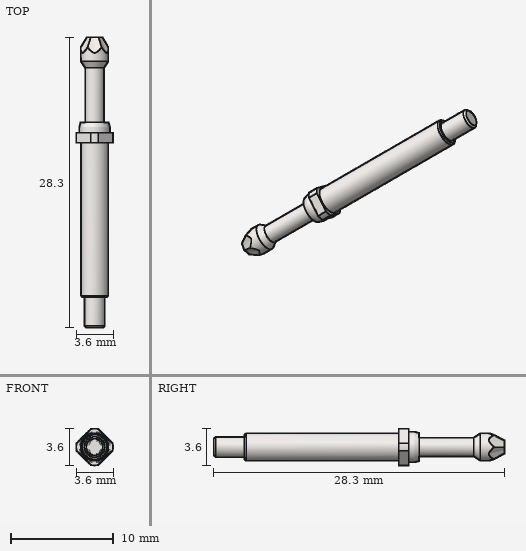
import cadquery as cq
import math


barrel_radius = 1.35
barrel_length = 15.0
barrel_chamfer = 0.15
tail_radius = 1.0
tail_length = 3.0
tail_chamfer = 0.2
flange_across_flats = 3.0
flange_corner_radius = 1.8
flange_thickness = 1.0

collar_radius = 1.5
collar_front_radius = 1.38
collar_straight_length = 0.55
collar_taper_length = 0.45

neck_radius = 0.925
neck_length = 5.3
head_radius = 1.35
head_cone_length = 0.65
head_length = 2.35

facet_count = 6
tip_ridge_radius = 0.75
tip_root_radius = 0.6
facet_length = 1.55

tail_end_y = -barrel_length - tail_length
collar_taper_y = flange_thickness + collar_straight_length
collar_front_y = collar_taper_y + collar_taper_length
head_cone_y = collar_front_y + neck_length
head_cylinder_y = head_cone_y + head_cone_length
tip_y = head_cylinder_y + head_length


def make_turned_body():
    """Barrel, tail, collar and neck, turned about the Y axis."""
    profile = [
        (0, tail_end_y),
        (tail_radius - tail_chamfer, tail_end_y),
        (tail_radius, tail_end_y + tail_chamfer),
        (tail_radius, -barrel_length),
        (barrel_radius - barrel_chamfer, -barrel_length),
        (barrel_radius, -barrel_length + barrel_chamfer),
        (barrel_radius, 0),
        (collar_radius, 0),
        (collar_radius, collar_taper_y),
        (collar_front_radius, collar_front_y),
        (neck_radius, collar_front_y),
        (neck_radius, head_cone_y),
        (head_radius, head_cylinder_y),
        (head_radius, tip_y),
        (0, tip_y),
    ]
    return cq.Workplane("XY").polyline(profile).close().revolve(360, (0, 0), (0, 1))


def make_flange():
    """Square flange standing on its corner, with the corners rounded by a circle."""
    disc = cq.Workplane("XZ").circle(flange_corner_radius).extrude(-flange_thickness)
    square = (
        cq.Workplane("XZ")
        .transformed(rotate=(0, 0, 45))
        .rect(flange_across_flats, flange_across_flats)
        .extrude(-flange_thickness)
    )
    return disc.intersect(square)


def star_points(scale):
    """Star outline with ridges starting on the X axis and roots halfway between them."""
    points = []
    for corner in range(2 * facet_count):
        angle = corner * math.pi / facet_count
        radius = tip_root_radius if corner % 2 else tip_ridge_radius
        points.append((scale * radius * math.cos(angle), scale * radius * math.sin(angle)))
    return points


def make_crown_envelope():
    """Star pyramid whose roots run out on the head cylinder one facet length behind the tip."""
    scale_per_length = (head_radius / tip_root_radius - 1) / facet_length
    base_scale = 1 + scale_per_length * head_length
    return (
        cq.Workplane("XZ", origin=(0, tip_y, 0))
        .polyline(star_points(1))
        .close()
        .workplane(offset=head_length)
        .polyline(star_points(base_scale))
        .close()
        .loft(ruled=True)
    )


def make_crown_waste():
    """Material outside the star pyramid, removed from the front of the head."""
    blank = (
        cq.Workplane("XZ", origin=(0, tip_y, 0))
        .circle(2 * head_radius)
        .extrude(head_length)
    )
    return blank.cut(make_crown_envelope())


result = make_turned_body().union(make_flange()).cut(make_crown_waste())